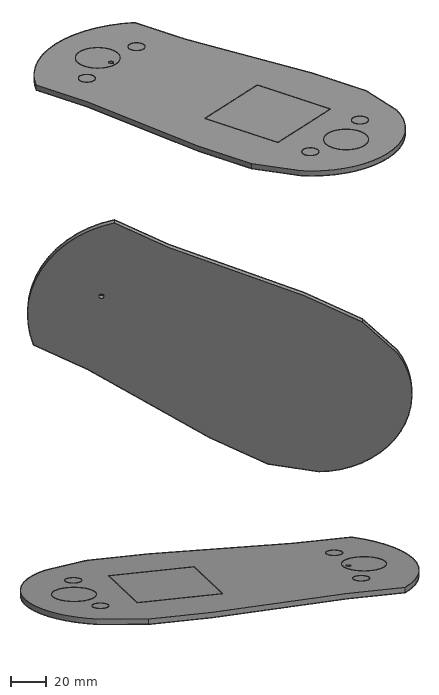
import cadquery as cq

length = 230.2
width = 110.5
thickness = 3.2

narrow_half_width = 47.5
wide_half_width = width / 2
left_arc_end_x = 20.7
taper_start_x = 55.5
taper_end_x = 138.1
shoulder_x = 175.5
right_arc_start_x = 203.0
right_arc_half_width = 46.0

recess_depth = 0.12
large_disc_diameter = 25.3
left_disc_x = 29.2
right_disc_x = 201.2
small_disc_diameter = 9.7
small_disc_y = 24.0
left_small_disc_x = 39.0
right_small_disc_x = 193.6
square_side = 50.7
square_center_x = 147.0

pin_hole_diameter = 2.8
pin_hole_x = 38.5


def make_plate():
    upper_side = [
        (right_arc_start_x, right_arc_half_width),
        (shoulder_x, wide_half_width),
        (taper_end_x, wide_half_width),
        (taper_start_x, narrow_half_width),
        (left_arc_end_x, narrow_half_width),
    ]
    lower_side = [(x, -y) for x, y in reversed(upper_side)]
    return (
        cq.Workplane("XY")
        .polyline(upper_side)
        .threePointArc((0, 0), lower_side[0])
        .polyline(lower_side, includeCurrent=False)
        .threePointArc((length, 0), upper_side[0])
        .close()
        .extrude(thickness)
    )


def disc_cutter(points, diameter):
    return (
        cq.Workplane("XY", origin=(0, 0, thickness - recess_depth))
        .pushPoints(points)
        .circle(diameter / 2)
        .extrude(recess_depth)
    )


def square_cutter():
    return (
        cq.Workplane("XY", origin=(square_center_x, 0, thickness - recess_depth))
        .rect(square_side, square_side)
        .extrude(recess_depth)
    )


def pin_hole_cutter():
    return cq.Workplane("XY").center(pin_hole_x, 0).circle(pin_hole_diameter / 2).extrude(thickness)


large_disc_points = [(left_disc_x, 0), (right_disc_x, 0)]
small_disc_points = [
    (x, y)
    for x in (left_small_disc_x, right_small_disc_x)
    for y in (-small_disc_y, small_disc_y)
]

result = (
    make_plate()
    .cut(disc_cutter(large_disc_points, large_disc_diameter))
    .cut(disc_cutter(small_disc_points, small_disc_diameter))
    .cut(square_cutter())
    .cut(pin_hole_cutter())
)